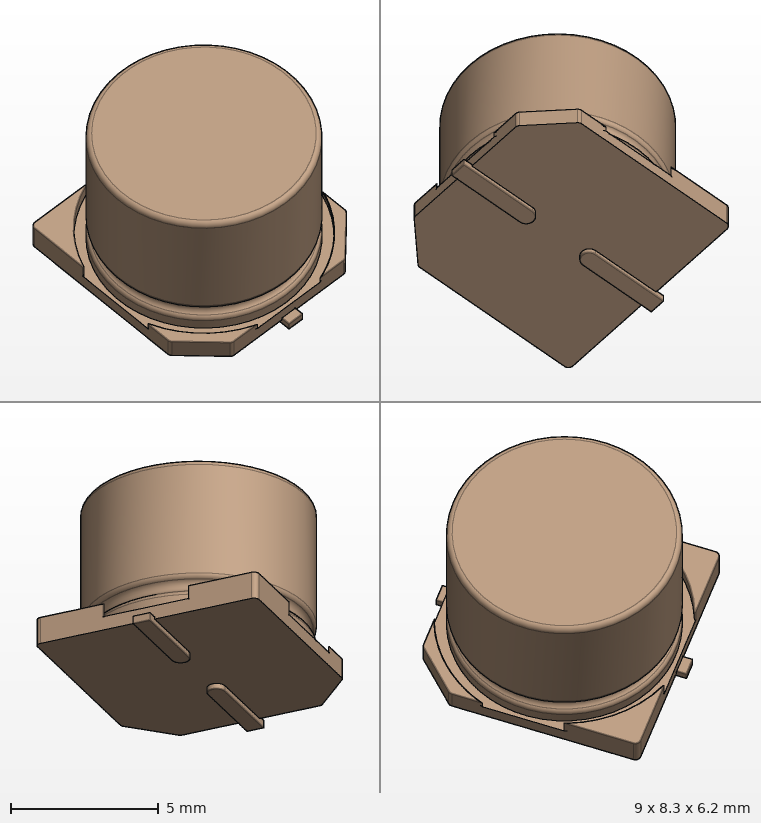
import cadquery as cq
import math

EDGE_RADIUS = 0.025

BASE_WIDTH = 8.3
BASE_BOTTOM = 0.2
BASE_TOP = 1.2
LOW_CORNER_TOP = 0.945
CORNER_CHAMFER = 1.5
CORNER_RADIUS = 0.2
POCKET_RADIUS = 4.4
POCKET_FLOOR = 0.7

CAN_RADIUS = 4.0
CAN_TOP = 6.2
RIM_RADIUS = 0.2
GROOVE_CENTRE = 1.49
GROOVE_RADIUS = 0.25
GROOVE_LIP_RADIUS = 0.19

LEAD_OUTER_END = 4.5
LEAD_INNER_END = 1.1
LEAD_WIDTH = 0.65
LEAD_THICKNESS = 0.3


def make_lead(side):
    """One lead lying on Z = 0 with its sharp edges rounded; side is -1 at -X and +1 at +X."""
    half_width = LEAD_WIDTH / 2
    outer_x = side * LEAD_OUTER_END
    inner_x = side * LEAD_INNER_END
    round_x = side * (LEAD_INNER_END + half_width)
    lead = (
        cq.Workplane("XY")
        .moveTo(outer_x, -half_width)
        .lineTo(round_x, -half_width)
        .threePointArc((inner_x, 0), (round_x, half_width))
        .lineTo(outer_x, half_width)
        .close()
        .extrude(LEAD_THICKNESS)
    )
    outer_end = ">X" if side > 0 else "<X"
    return lead.faces(f"{outer_end} or >Z or <Z").edges().fillet(EDGE_RADIUS)


def make_base(leads):
    """Base plate with a round pocket, lowered +X corners and a recess for each lead."""
    half_width = BASE_WIDTH / 2
    base = (
        cq.Workplane("XY", origin=(0, 0, BASE_BOTTOM))
        .rect(BASE_WIDTH, BASE_WIDTH)
        .extrude(BASE_TOP - BASE_BOTTOM)
        .edges("|Z and >X")
        .chamfer(CORNER_CHAMFER)
        .edges("|Z")
        .fillet(CORNER_RADIUS)
    )
    pocket = (
        cq.Workplane("XY", origin=(0, 0, POCKET_FLOOR))
        .circle(POCKET_RADIUS)
        .extrude(BASE_TOP - POCKET_FLOOR)
    )
    lowering = (
        cq.Workplane("XY", origin=(half_width / 2, 0, LOW_CORNER_TOP))
        .rect(half_width, BASE_WIDTH)
        .extrude(BASE_TOP - LOW_CORNER_TOP)
    )
    base = base.cut(pocket).cut(lowering)

    above_floor = cq.selectors.BoxSelector(
        (-half_width, -half_width, POCKET_FLOOR + EDGE_RADIUS),
        (half_width, half_width, BASE_TOP + EDGE_RADIUS),
    )
    base = base.edges(above_floor).fillet(EDGE_RADIUS)
    for lead in leads:
        base = base.cut(lead)
    return base


def make_can():
    """Revolved can with a rounded top rim and a crimp groove blended by rounded lips."""
    centre_distance = GROOVE_RADIUS + GROOVE_LIP_RADIUS
    lip_offset = math.sqrt(centre_distance**2 - GROOVE_LIP_RADIUS**2)
    lip_centre_radius = CAN_RADIUS - GROOVE_LIP_RADIUS
    groove_share = GROOVE_RADIUS / centre_distance
    blend_radius = CAN_RADIUS - GROOVE_LIP_RADIUS * groove_share
    blend_offset = lip_offset * groove_share

    lip_angle = math.atan2(lip_offset, GROOVE_LIP_RADIUS) / 2
    lip_middle_radius = lip_centre_radius + GROOVE_LIP_RADIUS * math.cos(lip_angle)
    lip_middle_offset = lip_offset - GROOVE_LIP_RADIUS * math.sin(lip_angle)

    profile = (
        cq.Workplane("XZ")
        .moveTo(0, POCKET_FLOOR)
        .lineTo(CAN_RADIUS, POCKET_FLOOR)
        .lineTo(CAN_RADIUS, GROOVE_CENTRE - lip_offset)
        .threePointArc(
            (lip_middle_radius, GROOVE_CENTRE - lip_middle_offset),
            (blend_radius, GROOVE_CENTRE - blend_offset),
        )
        .threePointArc(
            (CAN_RADIUS - GROOVE_RADIUS, GROOVE_CENTRE),
            (blend_radius, GROOVE_CENTRE + blend_offset),
        )
        .threePointArc(
            (lip_middle_radius, GROOVE_CENTRE + lip_middle_offset),
            (CAN_RADIUS, GROOVE_CENTRE + lip_offset),
        )
        .lineTo(CAN_RADIUS, CAN_TOP)
        .lineTo(0, CAN_TOP)
        .close()
    )
    return profile.revolve(360, (0, 0), (0, 1)).faces(">Z").edges().fillet(RIM_RADIUS)


leads = [make_lead(side) for side in (-1, 1)]
base = make_base(leads)
can = make_can()

result = cq.Compound.makeCompound([base.val(), can.val(), *[lead.val() for lead in leads]])